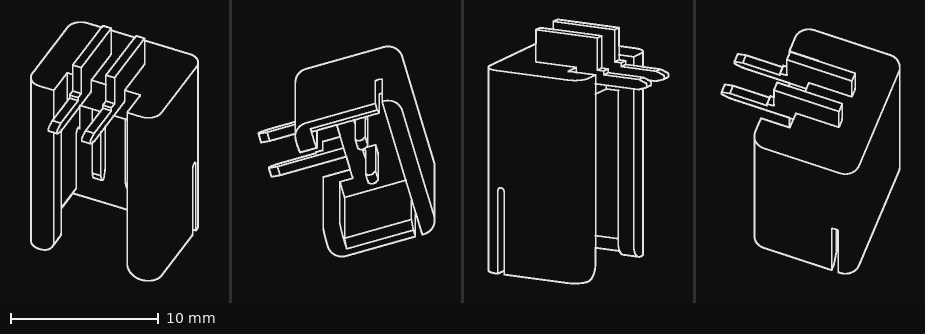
import cadquery as cq

width = 9.7
depth = 7.5
height = 14.2
corner_radius = 1.0
roof_thickness = 2.5
roof_underside = height - roof_thickness

opening_width = 5.5
roof_setback = 2.09
lip_fillet = 1.0

lip_depth = 1.18
back_wall = 1.14
cavity_width = 7.76
flare_width = 0.5
flare_height = 1.0
cavity_back = depth - back_wall

slot_width = 0.48
slot_height = 6.04

contact_thickness = 0.64
contact_pitch = 2.5
contact_top = 16.45
blade_front = 0.5
blade_back = 5.2
pin_size = 0.7
pin_reach = 3.3
pin_top = 13.93
pin_bottom = pin_top - pin_size
tip_length = 0.63
tip_inset = 0.21
tip_round = 0.18
leg_front = 3.52
leg_back = leg_front + pin_size
leg_bottom = 4.21
shoulder_projection = 0.21
shoulder_top = 11.58
shoulder_bottom = 10.89


def box(x_size, y_min, y_max, z_min, z_max):
    """Block centred on X between the given Y and Z limits."""
    block = cq.Workplane("XY").box(x_size, y_max - y_min, z_max - z_min, centered=(True, False, False))
    return block.translate((0, y_min, z_min))


def make_cavity():
    half_width = cavity_width / 2
    flared_half_width = half_width + flare_width
    length = cavity_back - lip_depth
    section = [
        (-flared_half_width, 0),
        (-half_width, flare_height),
        (-half_width, roof_underside),
        (half_width, roof_underside),
        (half_width, flare_height),
        (flared_half_width, 0),
    ]
    plane = cq.Workplane("XZ", origin=(0, cavity_back, 0))
    return plane.polyline(section).close().extrude(length)


def make_opening():
    """Front opening, with its lower corners rounded outward into the lips."""
    half_width = opening_width / 2
    opening = box(opening_width, 0, roof_setback, 0, height)
    for side in (-1, 1):
        edge = side * half_width
        outer = side * (half_width + lip_fillet)
        spandrel = (
            cq.Workplane("XZ", origin=(0, lip_depth, 0))
            .moveTo(edge, 0)
            .lineTo(outer, 0)
            .radiusArc((edge, lip_fillet), side * lip_fillet)
            .close()
            .extrude(lip_depth)
        )
        opening = opening.union(spandrel)
    return opening


def make_slot():
    radius = slot_width / 2
    slot_front = cavity_back - slot_width
    straight_top = slot_height - radius
    return (
        cq.Workplane("YZ", origin=(-width / 2, 0, 0))
        .moveTo(slot_front, 0)
        .lineTo(slot_front, straight_top)
        .threePointArc((slot_front + radius, slot_height), (cavity_back, straight_top))
        .lineTo(cavity_back, 0)
        .close()
        .extrude(width)
    )


def make_housing():
    body = box(width, 0, depth, 0, height).edges("|Z").fillet(corner_radius)
    return body.cut(make_cavity()).cut(make_opening()).cut(make_slot())


def make_contact():
    """Flat contact: upright blade, pin pointing forward, leg hanging in the cavity."""
    shoulder_front = leg_front - shoulder_projection
    profile = [
        (blade_back, contact_top),
        (blade_front, contact_top),
        (blade_front, height),
        (0, height),
        (0, pin_top),
        (tip_length - pin_reach, pin_top),
        (-pin_reach, pin_top - tip_inset),
        (-pin_reach, pin_bottom + tip_inset),
        (tip_length - pin_reach, pin_bottom),
        (shoulder_front, pin_bottom),
        (shoulder_front, shoulder_top),
        (leg_front, shoulder_bottom),
        (leg_front, leg_bottom + tip_length),
        (leg_front + tip_inset, leg_bottom),
        (leg_back - tip_inset, leg_bottom),
        (leg_back, leg_bottom + tip_length),
        (leg_back, pin_bottom),
        (blade_back, pin_bottom),
    ]
    contact = cq.Workplane("YZ").polyline(profile).close().extrude(contact_thickness / 2, both=True)
    contact = contact.faces("<Y").edges("|X").fillet(tip_round)
    return contact.faces("<Z").edges("|X").fillet(tip_round)


result = make_housing()
contact_blank = make_contact()
for side in (-1, 1):
    contact = contact_blank.translate((side * contact_pitch / 2, 0, 0))
    result = result.union(contact)